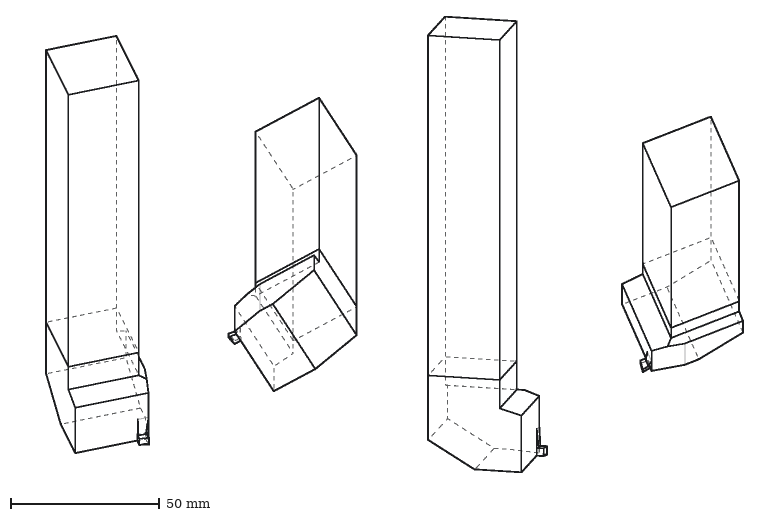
import cadquery as cq
import math

total_height = 151.0
shank_side = 24.9
head_bottom = 0.3
head_top = 32.2
head_width = 32.5
head_depth = 28.2
shoulder_height = 22.2
shoulder_angle = math.radians(15)
chamfer_width = 16.2
chamfer_angle = math.radians(30)
taper_start = 21.3
taper_depth = 2.3

rib_front = 22.2
rib_back = 24.8
rib_reach = 0.68
rib_top = 9.7

insert_top = 3.0
insert_front = 21.9
tip_back = 25.2
tip_reach = 35.3
edge_setback = 0.5
flank_relief = 0.5


def make_shank():
    """Square bar that stands on the head."""
    return cq.Workplane("XY").workplane(offset=head_top).box(
        shank_side, shank_side, total_height - head_top, centered=False)


def make_head_body():
    """Widened head with sloping shoulders, a chamfered bottom edge and a tapered back."""
    side_drop = (head_width - shank_side) * math.tan(shoulder_angle)
    back_drop = (head_depth - shank_side) * math.tan(shoulder_angle)
    chamfer_height = chamfer_width * math.tan(chamfer_angle)
    side_outline = (
        cq.Workplane("XZ")
        .moveTo(chamfer_width, head_bottom)
        .lineTo(head_width, head_bottom)
        .lineTo(head_width, shoulder_height - side_drop)
        .lineTo(shank_side, shoulder_height)
        .lineTo(shank_side, head_top)
        .lineTo(0, head_top)
        .lineTo(0, head_bottom + chamfer_height)
        .close()
        .extrude(-head_depth)
    )
    depth_outline = (
        cq.Workplane("YZ")
        .moveTo(0, head_bottom)
        .lineTo(head_depth, head_bottom)
        .lineTo(head_depth, shoulder_height - back_drop)
        .lineTo(shank_side, shoulder_height)
        .lineTo(shank_side, head_top)
        .lineTo(0, head_top)
        .close()
        .extrude(head_width)
    )
    plan_outline = (
        cq.Workplane("XY")
        .polyline([
            (0, 0),
            (head_width, 0),
            (head_width, head_depth - taper_depth),
            (taper_start, head_depth),
            (0, head_depth),
        ])
        .close()
        .extrude(head_top)
    )
    return side_outline.intersect(depth_outline).intersect(plan_outline)


def make_support_rib():
    """Thin wedge that carries the overhanging insert and blends into the back corner of the head."""
    wedge = (
        cq.Workplane("XZ")
        .moveTo(head_width, insert_top)
        .lineTo(head_width + rib_reach, insert_top)
        .lineTo(head_width, rib_top)
        .close()
        .extrude(-head_depth)
    )
    plan = (
        cq.Workplane("XY")
        .moveTo(head_width, rib_front)
        .lineTo(head_width + rib_reach, rib_front)
        .lineTo(head_width + rib_reach, rib_back)
        .lineTo(head_width, head_depth - taper_depth)
        .close()
        .extrude(rib_top)
    )
    return wedge.intersect(plan)


def make_insert():
    """Cutting insert with an angled edge, relieved back flank and sloping lower face."""
    plan = (
        cq.Workplane("XY")
        .moveTo(head_width, insert_front)
        .lineTo(tip_reach - edge_setback, insert_front)
        .lineTo(tip_reach, tip_back)
        .lineTo(head_width, tip_back - flank_relief)
        .close()
        .extrude(insert_top)
    )
    side = (
        cq.Workplane("XZ")
        .moveTo(head_width, head_bottom)
        .lineTo(tip_reach - edge_setback, head_bottom)
        .lineTo(tip_reach, 0)
        .lineTo(tip_reach, insert_top)
        .lineTo(head_width, insert_top)
        .close()
        .extrude(-head_depth)
    )
    return plan.intersect(side)


shank = make_shank()
head = make_head_body().union(make_support_rib())
insert = make_insert()

result = cq.Compound.makeCompound([*shank.solids().vals(), *head.solids().vals(), *insert.solids().vals()])